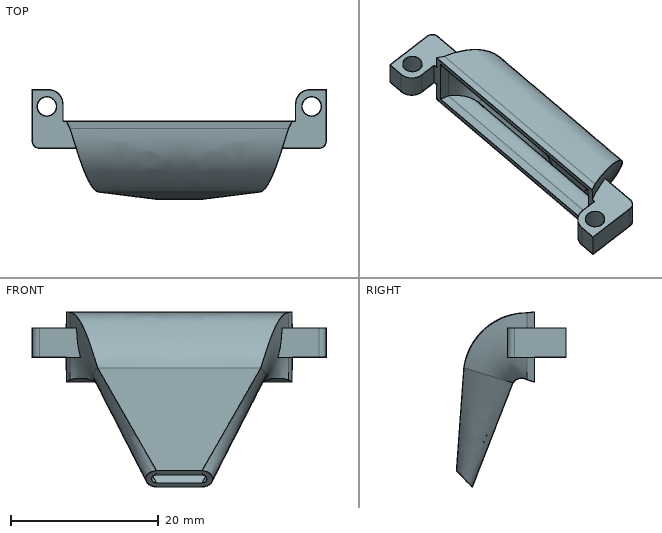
import cadquery as cq


wall = 0.8

lip_depth = 1.0
lip_half_width = 15.34
lip_bottom = -9.58

bend_start_half_width = 14.84
bend_end_half_width = 11.1
bend_start_top = (-lip_depth, -0.12)
bend_end_top = (-9.62, -7.62)
bend_start_bottom = (-lip_depth, -9.25)
bend_mid_bottom = (-1.9, -9.04)
bend_end_bottom = (-2.93, -9.68)
bend_steps = 4

bend_start_bow = 0.04
bend_end_bow = 0.65
outlet_bow = 1.45
least_bow = 0.04

outlet_half_width = 3.1
outlet_front = (-10.63, -21.6)
outlet_back = (-8.45, -23.84)

tab_outer_x = 20.0
tab_foot_x = 15.8
tab_root_x = 13.2
tab_back = 4.3
tab_front = -3.7
tab_top = -2.2
tab_height = 4.0
foot_round = 2.0
front_round = 1.0
hole_diameter = 2.6
hole_x = 18.0
hole_y = 2.0


def point(yz):
    return cq.Vector(0, yz[0], yz[1])


def section(upper, lower, half_width, bow, inset):
    """Wire with straight upper and lower edges and sides bowed outwards, shrunk by inset."""
    inset_bow = max(bow - inset, least_bow)
    corner_x = half_width - inset + (bow - inset_bow)
    step = (lower - upper).normalized() * inset
    upper = upper + step
    lower = lower - step
    middle = (upper + lower) * 0.5
    along_x = cq.Vector(corner_x, 0, 0)
    bow_x = cq.Vector(corner_x + inset_bow, 0, 0)
    return cq.Wire.assembleEdges([
        cq.Edge.makeLine(upper - along_x, upper + along_x),
        cq.Edge.makeThreePointArc(upper + along_x, middle + bow_x, lower + along_x),
        cq.Edge.makeLine(lower + along_x, lower - along_x),
        cq.Edge.makeThreePointArc(lower - along_x, middle - bow_x, upper - along_x),
    ])


def bend_sections(inset):
    """Sections along the bend, carried by its upper and lower arcs."""
    straight_back = cq.Vector(0, -1, 0)
    upper_arc = cq.Edge.makeTangentArc(point(bend_start_top), straight_back, point(bend_end_top))
    lower_arc = cq.Edge.makeThreePointArc(
        point(bend_start_bottom), point(bend_mid_bottom), point(bend_end_bottom)
    )
    sections = []
    for step in range(bend_steps + 1):
        t = step / bend_steps
        half_width = bend_start_half_width + t * (bend_end_half_width - bend_start_half_width)
        bow = bend_start_bow + t * (bend_end_bow - bend_start_bow)
        upper = upper_arc.positionAt(t)
        lower = lower_arc.positionAt(t)
        sections.append(section(upper, lower, half_width, bow, inset))
    return sections


def duct(inset):
    """Solid bounded by the duct surface moved inwards by inset."""
    bend = bend_sections(inset)
    inlet = section(point((0, 0)), point((0, lip_bottom)), lip_half_width, bend_start_bow, inset)
    outlet = section(point(outlet_front), point(outlet_back), outlet_half_width, outlet_bow, inset)
    lip_solid = cq.Solid.makeLoft([inlet, bend[0]], True)
    bend_solid = cq.Solid.makeLoft(bend, False)
    nozzle_solid = cq.Solid.makeLoft([bend[-1], outlet], True)
    return cq.Workplane(lip_solid).union(cq.Workplane(bend_solid)).union(cq.Workplane(nozzle_solid))


def tab():
    """Right-hand L-shaped tab with its screw hole; its root reaches into the duct wall."""
    outline = (
        cq.Workplane("XY", origin=(0, 0, tab_top - tab_height))
        .moveTo(tab_root_x, 0)
        .lineTo(tab_foot_x, 0)
        .lineTo(tab_foot_x, tab_back)
        .lineTo(tab_outer_x, tab_back)
        .lineTo(tab_outer_x, tab_front)
        .lineTo(tab_root_x, tab_front)
        .close()
    )
    body = outline.extrude(tab_height)
    foot_corner = (tab_foot_x, tab_back, tab_top - tab_height / 2)
    body = body.edges(cq.selectors.NearestToPointSelector(foot_corner)).fillet(foot_round)
    body = body.edges("|Z").edges(">X").edges("<Y").fillet(front_round)
    hole = (
        cq.Workplane("XY", origin=(hole_x, hole_y, tab_top - tab_height))
        .circle(hole_diameter / 2)
        .extrude(tab_height)
    )
    return body.cut(hole)


right_tab = tab()
left_tab = right_tab.mirror("YZ")
result = duct(0).union(right_tab).union(left_tab).cut(duct(wall))